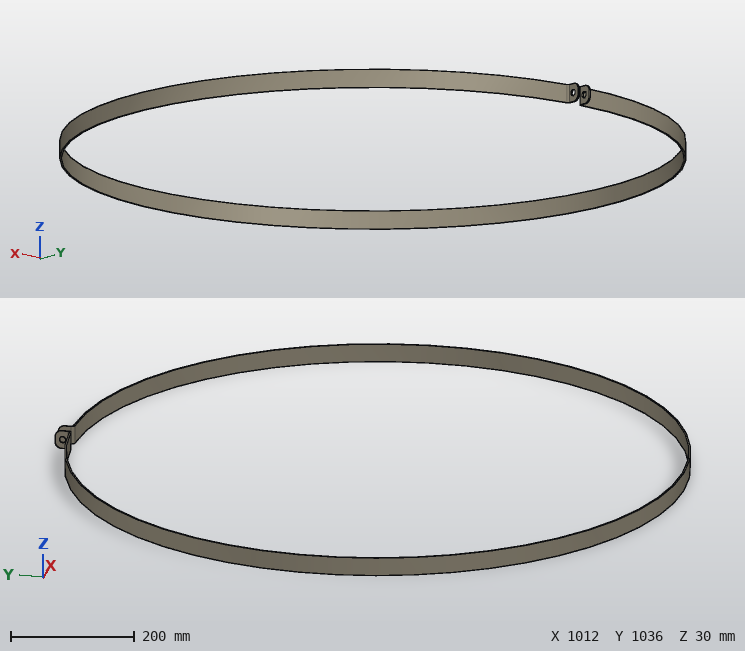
import cadquery as cq
import math

outer_diameter = 1012.0
total_length = 1036.0
band_width = 30.0
thickness = 2.8
gap = 21.0
bend_radius = 3.0
ear_corner_radius = 10.0
hole_diameter = 10.0
hole_end_distance = 12.0

outer_radius = outer_diameter / 2
inner_radius = outer_radius - thickness
ear_tip_y = total_length - outer_radius
ear_inner_x = gap / 2
ear_outer_x = ear_inner_x + thickness

bend_x = ear_outer_x + bend_radius
bend_center_distance = outer_radius + bend_radius
bend_y = math.sqrt(bend_center_distance**2 - bend_x**2)
band_angle = math.atan2(bend_y, bend_x)
bend_mid_angle = (math.pi + band_angle + math.pi) / 2


def polar(radius, angle, center=(0, 0)):
    """Point at a radius and angle around a centre."""
    return (center[0] + radius * math.cos(angle), center[1] + radius * math.sin(angle))


def mirrored(point):
    return (-point[0], point[1])


def make_band():
    """Open ring with both ears, extruded from its bent strip outline."""
    bend_center = (bend_x, bend_y)
    convex_mid = polar(bend_radius + thickness, bend_mid_angle, bend_center)
    concave_mid = polar(bend_radius, bend_mid_angle, bend_center)
    inner_end = polar(inner_radius, band_angle)
    outer_end = polar(outer_radius, band_angle)
    outline = (
        cq.Workplane("XY")
        .workplane(offset=-band_width / 2)
        .moveTo(ear_outer_x, ear_tip_y)
        .lineTo(ear_outer_x, bend_y)
        .threePointArc(concave_mid, outer_end)
        .threePointArc((0, -outer_radius), mirrored(outer_end))
        .threePointArc(mirrored(concave_mid), (-ear_outer_x, bend_y))
        .lineTo(-ear_outer_x, ear_tip_y)
        .lineTo(-ear_inner_x, ear_tip_y)
        .lineTo(-ear_inner_x, bend_y)
        .threePointArc(mirrored(convex_mid), mirrored(inner_end))
        .threePointArc((0, -inner_radius), inner_end)
        .threePointArc(convex_mid, (ear_inner_x, bend_y))
        .lineTo(ear_inner_x, ear_tip_y)
        .close()
    )
    return outline.extrude(band_width)


def round_ear_corners(band):
    return band.faces(">Y").edges("|X").fillet(ear_corner_radius)


def make_bolt_hole():
    """Cylinder along X that passes through both ears."""
    return (
        cq.Workplane("YZ")
        .center(ear_tip_y - hole_end_distance, 0)
        .circle(hole_diameter / 2)
        .extrude(ear_outer_x, both=True)
    )


result = round_ear_corners(make_band()).cut(make_bolt_hole())